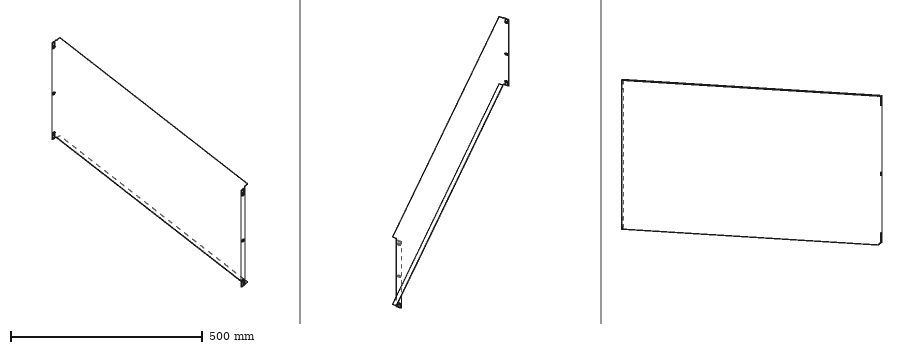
import cadquery as cq

LENGTH = 706.0
DEPTH = 27.0
HEIGHT = 398.0

SHEET = 1.0
BEND_RADIUS = 2 * SHEET
END_SETBACK = 3.0
SIDE_FLANGE = 16.0
SIDE_CORNER_RADIUS = 4.0

HOLE_DIAMETER = 9.0
HOLE_FROM_END = 25.0
MIDDLE_HOLE_Z = -13.0
SLOT_WIDTH = 6.5
SLOT_LENGTH = 15.0
SLOT_FROM_END = 12.0
HOLE_FROM_TIP = 7.0

FRONT = -DEPTH / 2
BACK = DEPTH / 2
PANEL_BACK = FRONT + SIDE_FLANGE
PANEL_FRONT = PANEL_BACK - SHEET
TOP_FLANGE_LENGTH = LENGTH - 2 * END_SETBACK
SIDE_FLANGE_HEIGHT = HEIGHT - 2 * END_SETBACK


def bent_channel(plane, width, face, tip, length):
    """Bent U-section: web's outer face at `face`, legs reaching `tip`, centred along its length."""
    direction = 1 if tip > face else -1
    inner_radius = BEND_RADIUS - SHEET
    half_outer = width / 2
    half_inner = half_outer - SHEET
    half_flat = half_outer - BEND_RADIUS
    inner_face = face + direction * SHEET
    bend_end = face + direction * BEND_RADIUS

    def on_bend(side, radius):
        diagonal = radius / 2**0.5
        return (side * (half_flat + diagonal), bend_end - direction * diagonal)

    return (
        cq.Workplane(plane)
        .moveTo(-half_outer, tip)
        .lineTo(-half_outer, bend_end)
        .threePointArc(on_bend(-1, BEND_RADIUS), (-half_flat, face))
        .lineTo(half_flat, face)
        .threePointArc(on_bend(1, BEND_RADIUS), (half_outer, bend_end))
        .lineTo(half_outer, tip)
        .lineTo(half_inner, tip)
        .lineTo(half_inner, bend_end)
        .threePointArc(on_bend(1, inner_radius), (half_flat, inner_face))
        .lineTo(-half_flat, inner_face)
        .threePointArc(on_bend(-1, inner_radius), (-half_inner, bend_end))
        .lineTo(-half_inner, tip)
        .close()
        .extrude(length / 2, both=True)
    )


def side_holes():
    """Cutters for the holes and slots, passing through both side flanges."""
    centre_y = FRONT + HOLE_FROM_TIP
    hole_z = HEIGHT / 2 - HOLE_FROM_END
    slot_z = HEIGHT / 2 - SLOT_FROM_END
    holes = (
        cq.Workplane("YZ")
        .pushPoints([(centre_y, z) for z in (-hole_z, MIDDLE_HOLE_Z, hole_z)])
        .circle(HOLE_DIAMETER / 2)
        .extrude(LENGTH, both=True)
    )
    slots = (
        cq.Workplane("YZ")
        .pushPoints([(centre_y, z) for z in (-slot_z, slot_z)])
        .slot2D(SLOT_LENGTH, SLOT_WIDTH, 90)
        .extrude(LENGTH, both=True)
    )
    return holes.union(slots)


panel_with_sides = bent_channel("XY", LENGTH, PANEL_BACK, FRONT, SIDE_FLANGE_HEIGHT)
panel_with_sides = panel_with_sides.faces("<Y").edges("|X").fillet(SIDE_CORNER_RADIUS)
panel_with_sides = panel_with_sides.cut(side_holes())

panel_with_top_and_bottom = bent_channel("ZY", HEIGHT, PANEL_FRONT, BACK, TOP_FLANGE_LENGTH)

result = panel_with_sides.union(panel_with_top_and_bottom)